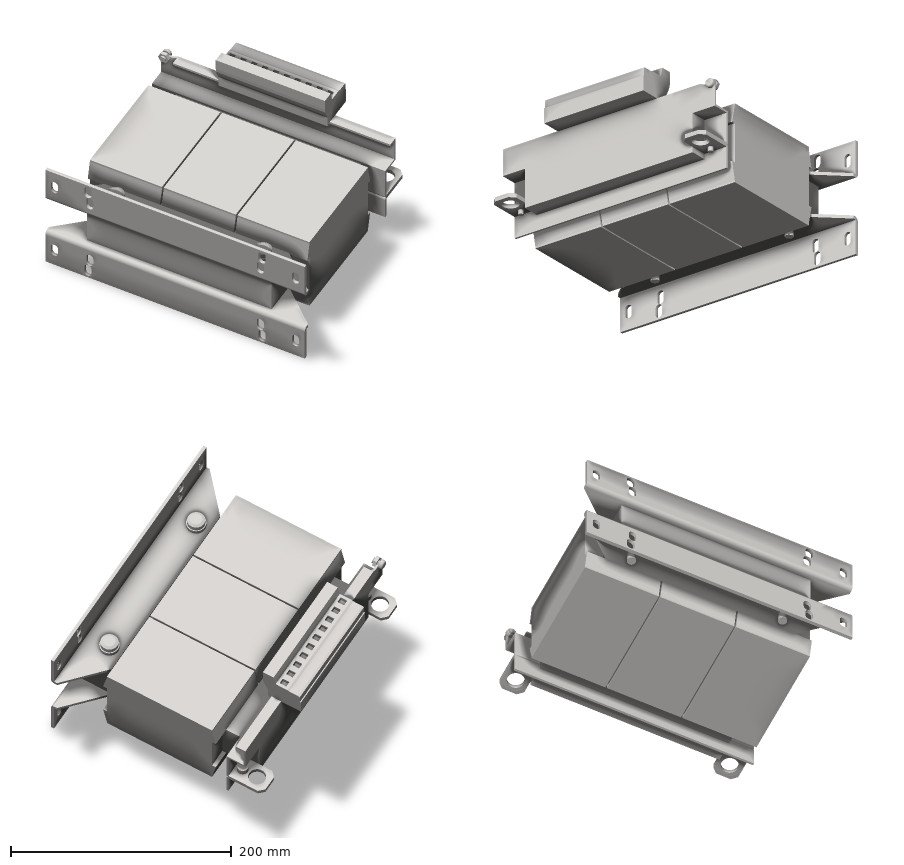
import cadquery as cq


core_width = 190.0
core_height = 39.5
core_front = 8.0
core_back = 197.5
limb_width = 38.2
yoke_depth = 38.7
limb_pitch = (core_width - limb_width) / 2
core_half = core_height / 2
window_front = core_front + yoke_depth
window_back = core_back - yoke_depth

coil_width = 74.2
coil_half_height = 39.8
coil_flare = 4.0
coil_rim = 2.0
coil_front = window_front
coil_back = 158.0

foot_length = 267.0
foot_sheet = 3.2
foot_bend_radius = 4.0
foot_outer_z = 57.5
foot_depth = 40.9
foot_straight_depth = 6.5
slot_length = 13.4
slot_width = 7.2
foot_slots = [(124.2, 39.2), (89.7, 48.9), (87.8, 35.5)]

bolt_y = 27.0
bolt_shaft_diameter = 8.3
bolt_end_z = -32.3
bolt_collar_diameter = 18.5
bolt_collar_height = 4.0
bolt_head_diameter = 16.5
bolt_head_top = 33.0
bolt_head_chamfer_height = 1.3
bolt_head_flat_diameter = 11.2

bracket_width = 240.3
bracket_sheet = 2.1
bracket_front = 177.5
lower_bracket_bottom = -35.8
lug_joint_z = -12.3
lug_back = 215.7
lug_width = (bracket_width - core_width) / 2
lug_x = (core_width + lug_width) / 2
lug_corner = 5.0
lug_hole_diameter = 16.3
lug_hole_y = 202.5
lug_bolt_y = 187.2
lug_bolt_head_diameter = 10.5
lug_bolt_head_height = 5.5
lug_bolt_diameter = 5.3
lug_bolt_end_z = -19.0

rail_top = 46.7
rail_front = 187.5
rail_left = -103.9
earth_tab_slope = 4.3

earth_x = -116.1
earth_z = 43.3
earth_head_diameter = 8.8
earth_head_back = 201.5
earth_head_rounding = 1.5
earth_nut_corners = 11.0
earth_nut_front = 192.0
earth_tip_diameter = 6.0
earth_tip_front = 190.0

terminal_left = -54.7
terminal_right = 57.7
terminal_modules = (3, 3, 2, 2)
terminal_pitch = (terminal_right - terminal_left) / sum(terminal_modules)
terminal_hole_width = 5.5
terminal_hole_length = 7.0
terminal_hole_y = 197.8
terminal_hole_depth = 4.0
terminal_ledge_z = 71.3
terminal_outline = [
    (189.5, 80.6),
    (178.4, 80.6),
    (178.4, 70.0),
    (178.5, 66.0),
    (181.0, 60.0),
    (183.7, 55.0),
    (183.7, 44.3),
    (188.5, 44.3),
    (188.5, 46.5),
    (218.5, 46.5),
    (218.5, 61.7),
    (217.3, 61.7),
    (217.3, 70.0),
    (215.2, 70.5),
    (206.0, 70.5),
    (204.3, terminal_ledge_z),
    (191.7, terminal_ledge_z),
]


def block(x_range, y_range, z_range):
    """Box between the given limits on each axis."""
    lows, highs = zip(x_range, y_range, z_range)
    sizes = [high - low for low, high in zip(lows, highs)]
    return cq.Workplane("XY").box(*sizes, centered=False).translate(lows)


def z_cylinder(x, y, diameter, bottom, top):
    return cq.Workplane("XY", origin=(x, y, bottom)).circle(diameter / 2).extrude(top - bottom)


def y_cylinder(x, z, diameter, front, back):
    return cq.Workplane("XZ", origin=(x, front, z)).circle(diameter / 2).extrude(front - back)


def centered(width):
    return (-width / 2, width / 2)


def make_core():
    core = block(centered(core_width), (core_front, core_back), centered(core_height))
    window_width = limb_pitch - limb_width
    for side in (-1, 1):
        middle = side * limb_pitch / 2
        window_x = (middle - window_width / 2, middle + window_width / 2)
        core = core.cut(block(window_x, (window_front, window_back), centered(core_height)))
    return core


def make_coil(x):
    """Coil whose overhanging ends flare out toward the core faces, with an upright rim."""
    flare_front = coil_front - coil_flare
    rim_bottom = coil_half_height - coil_rim
    flare_back = coil_back + coil_flare
    upper_half = [
        (coil_front, core_half),
        (flare_front, core_half),
        (coil_front, rim_bottom),
        (coil_front, coil_half_height),
        (coil_back, coil_half_height),
        (coil_back, rim_bottom),
        (flare_back, core_half),
        (coil_back, core_half),
    ]
    lower_half = [(y, -z) for y, z in reversed(upper_half)]
    outline = cq.Workplane("YZ", origin=(x - coil_width / 2, 0, 0)).polyline(upper_half + lower_half)
    return outline.close().extrude(coil_width)


def make_upper_foot():
    """Angle bracket: tapered plate on the core and a slotted upright flange."""
    half_length = foot_length / 2
    plate = (
        cq.Workplane("XY", origin=(0, 0, core_half))
        .polyline([
            (-half_length, 0),
            (half_length, 0),
            (half_length, foot_straight_depth),
            (core_width / 2, foot_depth),
            (-core_width / 2, foot_depth),
            (-half_length, foot_straight_depth),
        ])
        .close()
        .extrude(foot_sheet)
    )
    flange = block(centered(foot_length), (0, foot_sheet), (core_half, foot_outer_z))
    foot = plate.union(flange)
    foot = foot.edges(cq.NearestToPointSelector((0, 0, core_half))).fillet(foot_bend_radius)
    slot_places = [(side * x, z) for x, z in foot_slots for side in (-1, 1)]
    slots = (
        cq.Workplane("XZ")
        .pushPoints(slot_places)
        .slot2D(slot_length, slot_width, 90)
        .extrude(-foot_sheet)
    )
    return foot.cut(slots)


def make_foot_bolt(x):
    collar_bottom = core_half + foot_sheet
    collar_top = collar_bottom + bolt_collar_height
    shaft = z_cylinder(x, bolt_y, bolt_shaft_diameter, bolt_end_z, collar_top)
    collar = z_cylinder(x, bolt_y, bolt_collar_diameter, collar_bottom, collar_top)
    head = z_cylinder(x, bolt_y, bolt_head_diameter, collar_top, bolt_head_top)
    chamfer_width = (bolt_head_diameter - bolt_head_flat_diameter) / 2
    head = head.faces(">Z").chamfer(bolt_head_chamfer_height, chamfer_width)
    return shaft.union(collar).union(head)


def make_lug_plate(x, bottom):
    """Horizontal lug sheet with clipped rear corners and a lifting hole."""
    plate = block(
        (x - lug_width / 2, x + lug_width / 2),
        (bracket_front, lug_back),
        (bottom, bottom + bracket_sheet),
    )
    plate = plate.edges("|Z and >Y").chamfer(lug_corner)
    return plate.cut(z_cylinder(x, lug_hole_y, lug_hole_diameter, bottom, bottom + bracket_sheet))


def make_lug_end(x):
    """One end of both brackets: two lug sheets back to back, bent from upright tabs and bolted."""
    tab_x = (x - lug_width / 2, x + lug_width / 2)
    tab_y = (bracket_front, bracket_front + bracket_sheet)
    bend = cq.NearestToPointSelector((x, bracket_front, lug_joint_z))
    upper_tab = block(tab_x, tab_y, (lug_joint_z, core_half))
    upper = make_lug_plate(x, lug_joint_z).union(upper_tab).edges(bend).fillet(bracket_sheet)
    lower_tab = block(tab_x, tab_y, (lower_bracket_bottom, lug_joint_z))
    lower = make_lug_plate(x, lug_joint_z - bracket_sheet).union(lower_tab)
    lower = lower.edges(bend).fillet(bracket_sheet)
    head_bottom = lug_joint_z + bracket_sheet
    head_top = head_bottom + lug_bolt_head_height
    head = z_cylinder(x, lug_bolt_y, lug_bolt_head_diameter, head_bottom, head_top)
    shaft = z_cylinder(x, lug_bolt_y, lug_bolt_diameter, lug_bolt_end_z, head_bottom)
    return upper.union(lower, clean=False).union(head, clean=False).union(shaft, clean=False)


def make_rear_brackets():
    plate_top = core_half + bracket_sheet
    plate = block(centered(bracket_width), (bracket_front, core_back), (core_half, plate_top))
    skirt = block(
        centered(core_width),
        (bracket_front, bracket_front + bracket_sheet),
        (lower_bracket_bottom, -core_half),
    )
    brackets = plate.union(skirt)
    for side in (-1, 1):
        brackets = brackets.union(make_lug_end(side * lug_x), clean=False)
    return brackets


def make_rail():
    """Upright web with a forward lip; the web steps down at the left for the earthing screw."""
    half_width = bracket_width / 2
    lip_bottom = rail_top - bracket_sheet
    web = (
        cq.Workplane("XZ", origin=(0, core_back, 0))
        .polyline([
            (-half_width, core_half),
            (half_width, core_half),
            (half_width, rail_top),
            (rail_left, rail_top),
            (rail_left - earth_tab_slope, lip_bottom),
            (-half_width, lip_bottom),
        ])
        .close()
        .extrude(bracket_sheet)
    )
    lip = block((rail_left, half_width), (rail_front, core_back), (lip_bottom, rail_top))
    return web.union(lip)


def make_earth_screw():
    """Screw along Y through the web: rounded head behind, hexagonal nut and thread end in front."""
    web_front = core_back - bracket_sheet
    head = y_cylinder(earth_x, earth_z, earth_head_diameter, core_back, earth_head_back)
    head = head.faces(">Y").edges().fillet(earth_head_rounding)
    nut = (
        cq.Workplane("XZ", origin=(earth_x, web_front, earth_z))
        .polygon(6, earth_nut_corners)
        .extrude(web_front - earth_nut_front)
    )
    shaft = y_cylinder(earth_x, earth_z, earth_tip_diameter, earth_tip_front, core_back)
    return head.union(nut).union(shaft)


def make_terminal_module(left, count):
    """Row of terminals with one square pocket each in the ledge."""
    body = (
        cq.Workplane("YZ", origin=(left, 0, 0))
        .polyline(terminal_outline)
        .close()
        .extrude(count * terminal_pitch)
    )
    hole_places = [(left + (index + 0.5) * terminal_pitch, terminal_hole_y) for index in range(count)]
    holes = (
        cq.Workplane("XY", origin=(0, 0, terminal_ledge_z))
        .pushPoints(hole_places)
        .rect(terminal_hole_width, terminal_hole_length)
        .extrude(-terminal_hole_depth)
    )
    return body.cut(holes)


upper_foot = make_upper_foot()
result = make_core().union(upper_foot).union(upper_foot.mirror("XY"))
for coil_x in (-limb_pitch, 0, limb_pitch):
    result = result.union(make_coil(coil_x))
for bolt_x in (-limb_pitch, limb_pitch):
    result = result.union(make_foot_bolt(bolt_x))
for assembly in (make_rear_brackets(), make_rail(), make_earth_screw()):
    result = result.union(assembly, clean=False)

module_left = terminal_left
for module_count in terminal_modules:
    result = result.union(make_terminal_module(module_left, module_count), clean=False)
    module_left += module_count * terminal_pitch